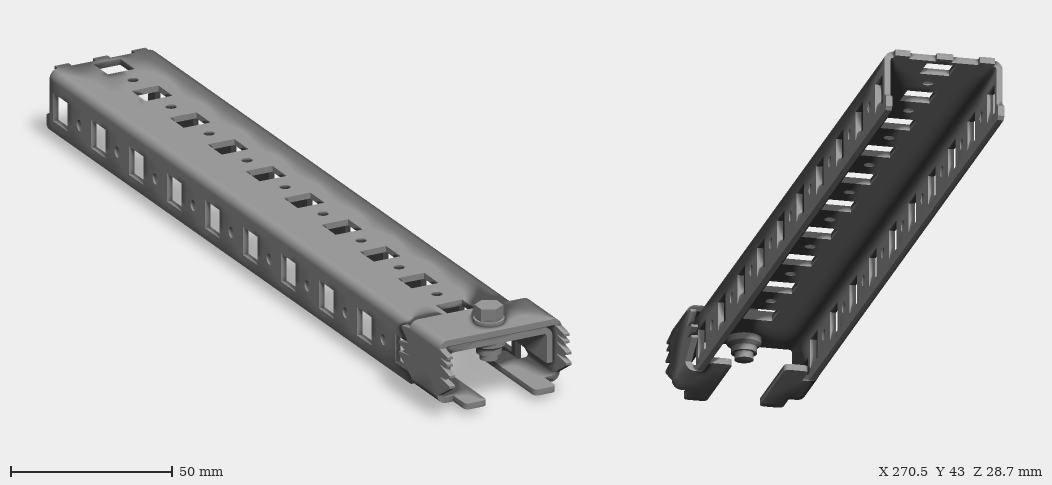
import cadquery as cq
import math

SHEET = 2.0
BEND_RADIUS = 3.0
CUT_OVERSHOOT = 2.7

RAIL_LENGTH = 262.5
RAIL_WIDTH = 38.0
RAIL_HEIGHT = 20.0
WEB_BOTTOM = RAIL_HEIGHT - SHEET

SQUARE_COUNT = 10
SQUARE_SIZE = 9.5
FIRST_SQUARE_X = 9.2
LAST_SQUARE_X = 234.3
PITCH = (LAST_SQUARE_X - FIRST_SQUARE_X) / (SQUARE_COUNT - 1)
ROUND_DIAMETER = 3.5
SIDE_ROW_Z = 8.5

END_SETBACK = 2.2
TONGUE_HALF = 2.57
EAR_INNER_Y = 11.0
EAR_OUTER_Y = RAIL_WIDTH / 2 - BEND_RADIUS
FOOT_SLOPE = 1.4
FOOT_TOP = 4.3
FOOT_CHAMFER = 1.0

WALL_END_X = 241.5
WALL_CUT_HEIGHT = 8.0
WALL_END_CHAMFER = 1.5

OVERALL_LENGTH = 270.5
CLAMP_CENTER_X = 253.7
CLAMP_LENGTH = 19.7
CLAMP_WIDTH = 43.0
CLAMP_TOP = 23.0
CLAMP_BOTTOM = 1.5
CLAMP_UNDERSIDE = CLAMP_TOP - SHEET
FLANGE_LENGTH = 2 * (OVERALL_LENGTH - CLAMP_CENTER_X)
FLANGE_INNER_Y = 8.5
FLANGE_OUTER_Y = 16.0
FLANGE_CORNER = 1.5
LEG_FOOT_HALF = 8.7
LEG_FOOT_Z = CLAMP_BOTTOM + BEND_RADIUS
LEG_SHOULDER_Z = 20.5

TOOTH_ROOT = 10.3
TOOTH_TIP_HEIGHT = 0.8
LEFT_TOOTH_REACH = 16.8
RIGHT_TOOTH_REACH = 16.5
UPPER_TOOTH_REACH = 15.1
LOW_TOOTH_Z = 10.0
LOW_ROOT_Z = 11.4
SECOND_TOOTH_Z = 13.5
MIDDLE_ROOT_Z = 15.5
THIRD_TOOTH_Z = 16.8
TOP_ROOT_Z = 17.9
TOP_TOOTH_Z = 19.2

BOLT_X = 256.0
BOLT_DIAMETER = 6.0
BOLT_TOP = 28.7
BOLT_BOTTOM = 10.8
HEAD_ACROSS_FLATS = 7.8
HEAD_ACROSS_CORNERS = HEAD_ACROSS_FLATS / math.cos(math.pi / 6)
BOLT_FLANGE_DIAMETER = 9.7
BOLT_FLANGE_TOP = 24.3
SLOT_LEFT_X = 248.9

NUT_COLLAR_DIAMETER = 10.8
NUT_BODY_DIAMETER = 8.0
NUT_BULGE_BOTTOM = 16.0
NUT_TAPER_BOTTOM = 15.0
NUT_BOTTOM = 13.0


def box_between(x_range, y_range, z_range):
    """Axis-aligned box from its lower and upper limits."""
    size = [high - low for low, high in (x_range, y_range, z_range)]
    return cq.Workplane("XY").box(*size, centered=False).translate((x_range[0], y_range[0], z_range[0]))


def vertical_cylinder(x, diameter, bottom, top):
    return cq.Workplane("XY", origin=(x, 0, bottom)).circle(diameter / 2).extrude(top - bottom)


def perforations():
    """Tools for the alternating square and round holes in the web and both walls."""
    tools = cq.Workplane("XY")
    squares = [(FIRST_SQUARE_X + i * PITCH, 0) for i in range(SQUARE_COUNT)]
    rounds = [(x + PITCH / 2, 0) for x, _ in squares[:-1]]
    web_depth = SHEET + CUT_OVERSHOOT
    wall_depth = RAIL_WIDTH + CUT_OVERSHOOT
    web = cq.Workplane("XY", origin=(0, 0, WEB_BOTTOM - CUT_OVERSHOOT / 2))
    walls = cq.Workplane("XZ", origin=(0, wall_depth / 2, SIDE_ROW_Z))
    for plane, depth in ((web, web_depth), (walls, wall_depth)):
        tools = tools.add(plane.pushPoints(squares).rect(SQUARE_SIZE, SQUARE_SIZE).extrude(depth))
        tools = tools.add(plane.pushPoints(rounds).circle(ROUND_DIAMETER / 2).extrude(depth))
    return tools.vals()


def rail_side_outline():
    """Side shape of the walls and web, extruded across the whole rail width."""
    return (
        cq.Workplane("XZ", origin=(0, RAIL_WIDTH / 2, 0))
        .moveTo(FOOT_CHAMFER, 0)
        .lineTo(WALL_END_X - WALL_END_CHAMFER, 0)
        .lineTo(WALL_END_X, WALL_END_CHAMFER)
        .lineTo(WALL_END_X, WALL_CUT_HEIGHT)
        .lineTo(RAIL_LENGTH, WALL_CUT_HEIGHT)
        .lineTo(RAIL_LENGTH, RAIL_HEIGHT)
        .lineTo(0, RAIL_HEIGHT)
        .lineTo(0, WEB_BOTTOM)
        .lineTo(END_SETBACK, WEB_BOTTOM)
        .lineTo(END_SETBACK, FOOT_TOP + FOOT_SLOPE)
        .lineTo(0, FOOT_TOP)
        .lineTo(0, FOOT_CHAMFER)
        .close()
        .extrude(RAIL_WIDTH)
    )


def make_rail():
    channel = (
        cq.Workplane("XY")
        .box(RAIL_LENGTH, RAIL_WIDTH, RAIL_HEIGHT, centered=(False, True, False))
        .edges("|X and >Z").fillet(BEND_RADIUS)
    )
    inside = (
        cq.Workplane("XY")
        .box(RAIL_LENGTH, RAIL_WIDTH - 2 * SHEET, WEB_BOTTOM, centered=(False, True, False))
        .edges("|X and >Z").fillet(BEND_RADIUS - SHEET)
    )
    rail = channel.cut(inside).intersect(rail_side_outline())
    gaps = [(TONGUE_HALF, EAR_INNER_Y), (EAR_OUTER_Y, RAIL_WIDTH / 2)]
    for inner_y, outer_y in gaps:
        for y_range in ((inner_y, outer_y), (-outer_y, -inner_y)):
            web_range = (WEB_BOTTOM, RAIL_HEIGHT)
            rail = rail.cut(box_between((0, END_SETBACK), y_range, web_range))
    for tool in perforations():
        rail = rail.cut(cq.Workplane(tool))
    return rail.cut(vertical_cylinder(BOLT_X, NUT_BODY_DIAMETER, WEB_BOTTOM, RAIL_HEIGHT))


def tooth_tip(reach, z):
    """Lower and upper corner of a blunt tooth tip centred on height z."""
    return [(reach, z - TOOTH_TIP_HEIGHT / 2), (reach, z + TOOTH_TIP_HEIGHT / 2)]


def leg_edge(long_reach, upper_teeth):
    """One toothed edge of the leg from foot to top, as (distance from centre, height)."""
    return [
        (LEG_FOOT_HALF, CLAMP_BOTTOM),
        (LEG_FOOT_HALF, LEG_FOOT_Z),
        *tooth_tip(long_reach, LOW_TOOTH_Z),
        (TOOTH_ROOT, LOW_ROOT_Z),
        *tooth_tip(long_reach, SECOND_TOOTH_Z),
        (TOOTH_ROOT, MIDDLE_ROOT_Z),
        *upper_teeth,
        (CLAMP_LENGTH / 2, LEG_SHOULDER_Z),
        (CLAMP_LENGTH / 2, CLAMP_TOP),
    ]


def leg_outline():
    """Side shape of the clamp: narrow foot, toothed edges and straight top."""
    top_tooth = tooth_tip(UPPER_TOOTH_REACH, TOP_TOOTH_Z)
    third_tooth = tooth_tip(UPPER_TOOTH_REACH, THIRD_TOOTH_Z)
    right_edge = leg_edge(RIGHT_TOOTH_REACH, [*third_tooth, (TOOTH_ROOT, TOP_ROOT_Z), *top_tooth])
    left_edge = [(-x, z) for x, z in reversed(leg_edge(LEFT_TOOTH_REACH, top_tooth))]
    return (
        cq.Workplane("XZ", origin=(CLAMP_CENTER_X, CLAMP_WIDTH / 2, 0))
        .polyline(right_edge + left_edge).close()
        .extrude(CLAMP_WIDTH)
    )


def clamp_section():
    """C-section with inward flanges, as long as the flanges."""
    height = CLAMP_TOP - CLAMP_BOTTOM
    middle = (CLAMP_CENTER_X, 0, CLAMP_BOTTOM + height / 2)
    outside = cq.Workplane("XY").box(FLANGE_LENGTH, CLAMP_WIDTH, height).edges("|X").fillet(BEND_RADIUS)
    inside = (
        cq.Workplane("XY")
        .box(FLANGE_LENGTH, CLAMP_WIDTH - 2 * SHEET, height - 2 * SHEET)
        .edges("|X").fillet(BEND_RADIUS - SHEET)
    )
    mouth = cq.Workplane("XY").box(FLANGE_LENGTH, 2 * FLANGE_INNER_Y, height).translate((0, 0, -height / 2))
    return outside.cut(inside).cut(mouth).translate(middle)


def clamp_flange(side):
    """Flat flange strip, longer than the leg it hangs from; side is +1 or -1."""
    width = FLANGE_OUTER_Y - FLANGE_INNER_Y
    center_y = side * (FLANGE_INNER_Y + FLANGE_OUTER_Y) / 2
    return (
        cq.Workplane("XY", origin=(CLAMP_CENTER_X, center_y, CLAMP_BOTTOM))
        .box(FLANGE_LENGTH, width, SHEET, centered=(True, True, False))
        .edges("|Z").fillet(FLANGE_CORNER)
    )


def make_clamp():
    clamp = clamp_section().intersect(leg_outline())
    for side in (1, -1):
        clamp = clamp.union(clamp_flange(side))
    slot_right_x = BOLT_X + BOLT_DIAMETER / 2
    slot = (
        cq.Workplane("XY", origin=((SLOT_LEFT_X + slot_right_x) / 2, 0, CLAMP_UNDERSIDE))
        .slot2D(slot_right_x - SLOT_LEFT_X, BOLT_DIAMETER)
        .extrude(SHEET)
    )
    return clamp.cut(slot)


def make_bolt():
    shank = vertical_cylinder(BOLT_X, BOLT_DIAMETER, BOLT_BOTTOM, CLAMP_TOP)
    flange = vertical_cylinder(BOLT_X, BOLT_FLANGE_DIAMETER, CLAMP_TOP, BOLT_FLANGE_TOP)
    head = (
        cq.Workplane("XY", origin=(BOLT_X, 0, BOLT_FLANGE_TOP))
        .polygon(6, HEAD_ACROSS_CORNERS)
        .extrude(BOLT_TOP - BOLT_FLANGE_TOP)
    )
    return shank.union(flange).union(head)


def make_nut():
    """Turned rivet nut: collar above the web, neck in its hole, bulge and barrel below."""
    bore = BOLT_DIAMETER / 2
    body = NUT_BODY_DIAMETER / 2
    collar = NUT_COLLAR_DIAMETER / 2
    half_section = [
        (bore, NUT_BOTTOM),
        (body, NUT_BOTTOM),
        (body, NUT_TAPER_BOTTOM),
        (collar, NUT_BULGE_BOTTOM),
        (collar, WEB_BOTTOM),
        (body, WEB_BOTTOM),
        (body, RAIL_HEIGHT),
        (collar, RAIL_HEIGHT),
        (collar, CLAMP_UNDERSIDE),
        (bore, CLAMP_UNDERSIDE),
    ]
    nut = cq.Workplane("XZ").polyline(half_section).close().revolve(360, (0, 0, 0), (0, 1, 0))
    return nut.translate((BOLT_X, 0, 0))


rail = make_rail()
clamp = make_clamp()
bolt = make_bolt()
nut = make_nut()

result = cq.Compound.makeCompound([rail.val(), clamp.val(), bolt.val(), nut.val()])